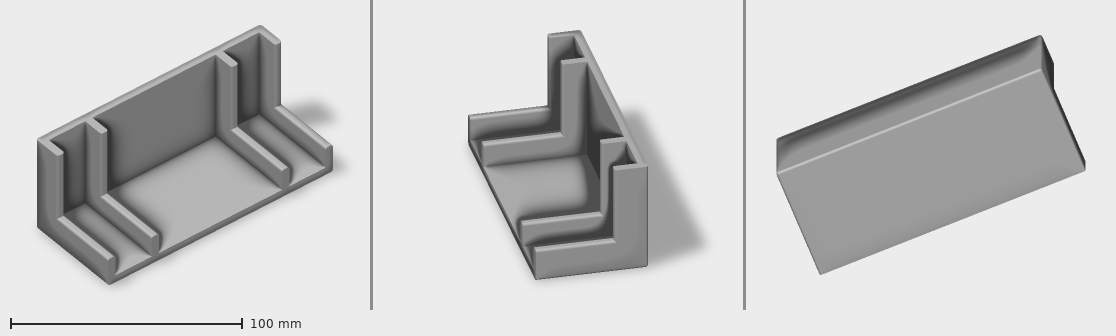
import cadquery as cq

length = 124.0
leg = 50.0
rib_depth = 15.0

wall = 4.0
rib_thickness = 4.0
rib_gap = 20.1
edge_radius = 1.2

end_rib_start = length / 2 - rib_thickness
inner_rib_start = end_rib_start - rib_gap - rib_thickness


def angle_plate(thickness, y_start, width):
    """L-shaped slab with its outer corner at X = Z = 0, extruded along +Y."""
    outline = [
        (0, 0),
        (leg, 0),
        (leg, thickness),
        (thickness, thickness),
        (thickness, leg),
        (0, leg),
    ]
    return (
        cq.Workplane("XZ", origin=(0, y_start, 0))
        .polyline(outline)
        .close()
        .extrude(-width)
    )


def rib(y_start):
    """L-shaped rib with both edges of its inner crest rounded."""
    body = angle_plate(rib_depth, y_start, rib_thickness)
    floor_crest = body.edges("|X exc (<Z or >Z)")
    wall_crest = body.edges("|Z exc (<X or >X)")
    return floor_crest.add(wall_crest).fillet(edge_radius)


result = angle_plate(wall, -length / 2, length)

for start in (end_rib_start, inner_rib_start):
    result = result.union(rib(start))
    result = result.union(rib(-start - rib_thickness))

outer_faces = result.faces("<X or <Z")
outer_edges = outer_faces.edges("not (>X or >Z)")
result = outer_edges.fillet(edge_radius)